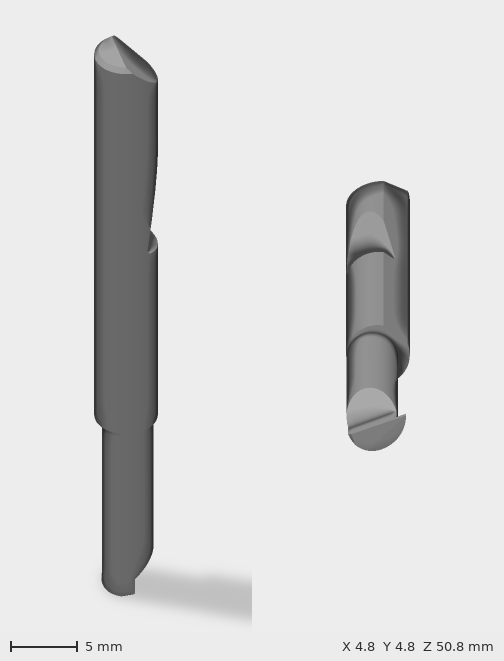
import cadquery as cq
import math

length = 50.8
shank_diameter = 4.8
shank_radius = shank_diameter / 2
top_chamfer = 0.35
oversize = 2 * shank_diameter

flat_distance = 2.1
flat_angle = 150.0

slope_top_y = -0.55
slope_angle = 44.0

notch_top_z = 41.65
notch_root_z = 32.6
notch_bottom_z = 32.2
notch_depth = 1.35
notch_root_radius = 0.45

neck_top_z = 15.8
neck_radius = 1.95
neck_x = shank_radius - neck_radius
neck_bottom_z = 0.3
undercut_size = 0.25

rake_y = 0.0
rake_top_z = 3.55
rake_bottom_z = 1.8

tooth_tip_x = -2.25
tooth_top_z = 0.4
tip_relief = 0.15
tip_chamfer = 0.25


def prism_along_x(points):
    """Extrude a YZ outline right through the width of the bar."""
    return cq.Workplane("YZ").polyline(points).close().extrude(oversize, both=True)


def make_shank():
    shank = (
        cq.Workplane("XY").workplane(offset=neck_top_z)
        .circle(shank_radius).extrude(length - neck_top_z)
        .faces(">Z").chamfer(top_chamfer)
    )
    flat_cutter = (
        cq.Workplane("XY").box(oversize, oversize, length, centered=(False, True, False))
        .translate((flat_distance, 0, 0))
        .rotate((0, 0, 0), (0, 0, 1), flat_angle)
    )
    slope_drop = (oversize - slope_top_y) * math.tan(math.radians(slope_angle))
    slope_cutter = prism_along_x([
        (slope_top_y, length),
        (oversize, length),
        (oversize, length - slope_drop),
    ])
    return shank.cut(flat_cutter).cut(slope_cutter).cut(make_notch_cutter())


def make_notch_cutter():
    notch_root_y = shank_radius - notch_depth
    cutter = prism_along_x([
        (shank_radius, notch_top_z),
        (notch_root_y, notch_root_z),
        (shank_radius, notch_bottom_z),
    ])
    return cutter.edges("|X and <Y").fillet(notch_root_radius)


def make_neck():
    neck = (
        cq.Workplane("XY").workplane(offset=neck_bottom_z).center(neck_x, 0)
        .circle(neck_radius).extrude(neck_top_z - neck_bottom_z)
    )
    rake_cutter = prism_along_x([
        (rake_y, 0),
        (rake_y, rake_bottom_z),
        (neck_radius, rake_top_z),
        (oversize, rake_top_z),
        (oversize, 0),
    ])
    neck_left_x = neck_x - neck_radius
    undercut_cutter = (
        cq.Workplane("XZ").moveTo(neck_left_x, tooth_top_z + undercut_size)
        .lineTo(neck_left_x + undercut_size, tooth_top_z)
        .lineTo(neck_left_x, tooth_top_z)
        .close().extrude(oversize)
    )
    return neck.cut(rake_cutter).cut(undercut_cutter)


def make_tooth():
    """Half-round plate whose pointed corner overhangs the neck on the -X side."""
    neck_bottom = (neck_x, -neck_radius)
    diagonal_offset = neck_radius * math.sqrt(0.5)
    return (
        cq.Workplane("XY").moveTo(shank_radius, rake_y)
        .threePointArc((neck_x + diagonal_offset, -diagonal_offset), neck_bottom)
        .tangentArcPoint((tooth_tip_x, rake_y), relative=False)
        .close().extrude(tooth_top_z)
    )


def relieve_tip(body):
    """Slope the lower end upwards from the tooth corner toward +X and -Y."""
    relief_cutter = (
        cq.Workplane("XZ").moveTo(tooth_tip_x, 0)
        .lineTo(shank_radius - tip_chamfer, tip_relief)
        .lineTo(shank_radius, tip_relief + tip_chamfer)
        .lineTo(shank_radius, -oversize).lineTo(tooth_tip_x, -oversize)
        .close().extrude(oversize)
    )
    relief_angle = math.degrees(math.atan2(tip_relief, neck_radius))
    back_cutter = (
        cq.Workplane("XY").box(oversize * 2, oversize, oversize, centered=(True, False, False))
        .translate((0, -oversize, -oversize))
        .rotate((0, 0, 0), (1, 0, 0), -relief_angle)
    )
    return body.cut(relief_cutter).cut(back_cutter)


neck = relieve_tip(make_neck())
tooth = relieve_tip(make_tooth())
result = make_shank().union(neck).union(tooth)